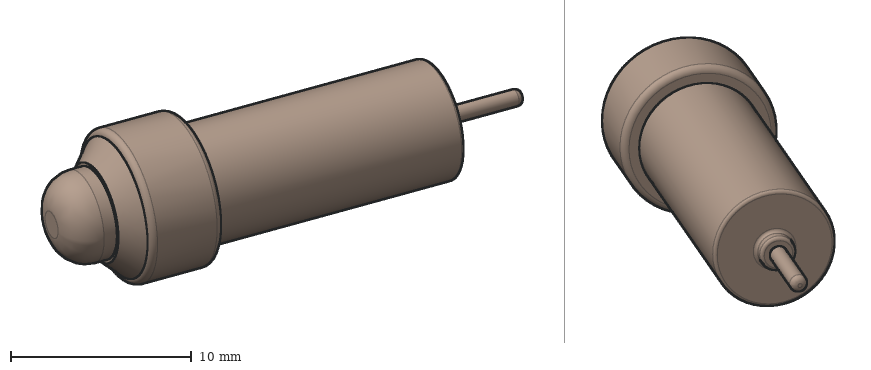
import cadquery as cq

total_length = 29.2

nose_radius = 2.7
nose_length = 2.7
nose_rounding = 1.9

cone_tip_radius = 2.9
cone_length = 1.2

flange_radius = 4.5
flange_length = 4.53
flange_rounding = 0.4

body_radius = 3.5
body_rounding = 0.2

collar_radius = 1.02
collar_length = 0.8
collar_rounding = 0.2

pin_radius = 0.5
pin_length = 4.5
pin_rounding = 0.38

flange_front = nose_length + cone_length
flange_rear = flange_front + flange_length
collar_rear = total_length - pin_length
body_rear = collar_rear - collar_length
cone_base_radius = flange_radius - flange_rounding


def cylinder(radius, start, end):
    """Solid cylinder on the Y axis between two stations."""
    return cq.Workplane("XZ", origin=(0, start, 0)).circle(radius).extrude(start - end)


def make_nose():
    """Plunger tip with a large rounding that leaves a small flat at the front."""
    return cylinder(nose_radius, 0, flange_front).faces("<Y").edges().fillet(nose_rounding)


def make_cone():
    """Taper that widens from the nose to the rounded shoulder of the flange."""
    profile = (
        cq.Workplane("XY")
        .moveTo(0, nose_length)
        .lineTo(cone_tip_radius, nose_length)
        .lineTo(cone_base_radius, flange_front)
        .lineTo(0, flange_front)
        .close()
    )
    return profile.revolve(360, (0, 0, 0), (0, 1, 0))


def make_flange():
    """Thick flange, rounded at both ends."""
    return cylinder(flange_radius, flange_front, flange_rear).edges().fillet(flange_rounding)


def make_body():
    """Barrel behind the flange, with a rounded rear edge."""
    return cylinder(body_radius, flange_front, body_rear).faces(">Y").edges().fillet(body_rounding)


def make_collar():
    """Small collar with a rounded rear edge and a concave fillet at its root."""
    root_radius = collar_radius + collar_rounding
    root_end = body_rear + collar_rounding
    arc_offset = collar_rounding * (1 - 0.5**0.5)
    root_profile = (
        cq.Workplane("XY")
        .moveTo(0, body_rear)
        .lineTo(root_radius, body_rear)
        .threePointArc((collar_radius + arc_offset, body_rear + arc_offset), (collar_radius, root_end))
        .lineTo(0, root_end)
        .close()
    )
    root = root_profile.revolve(360, (0, 0, 0), (0, 1, 0))
    ring = cylinder(collar_radius, body_rear, collar_rear).faces(">Y").edges().fillet(collar_rounding)
    return ring.union(root)


def make_pin():
    """Contact pin with a rounded end."""
    return cylinder(pin_radius, body_rear, total_length).faces(">Y").edges().fillet(pin_rounding)


result = (
    make_flange()
    .union(make_cone())
    .union(make_nose())
    .union(make_body())
    .union(make_collar())
    .union(make_pin())
)